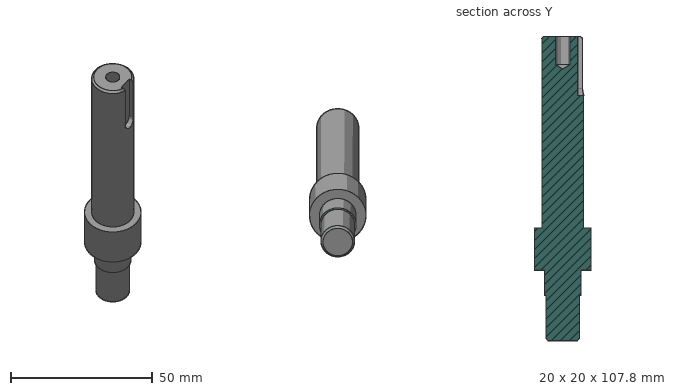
import cadquery as cq
import math

total_length = 107.8
pilot_diameter = 12.0
pilot_top = 16.1
seat_diameter = 13.0
seat_top = 24.9
collar_diameter = 20.0
collar_top = 40.0
shaft_diameter = 15.0
pilot_chamfer = 0.8
shaft_chamfer = 0.8

hole_diameter = 5.0
hole_depth = 10.0
drill_point_angle = 118

keyway_width = 5.0
keyway_floor_x = 5.4
keyway_bottom = 86.9


def cylinder(diameter, bottom, top):
    return cq.Workplane("XY").workplane(offset=bottom).circle(diameter / 2).extrude(top - bottom)


def stepped_shaft():
    pilot = cylinder(pilot_diameter, 0, pilot_top).faces("<Z").chamfer(pilot_chamfer)
    seat = cylinder(seat_diameter, pilot_top, seat_top)
    collar = cylinder(collar_diameter, seat_top, collar_top)
    shaft = cylinder(shaft_diameter, collar_top, total_length).faces(">Z").chamfer(shaft_chamfer)
    return pilot.union(seat).union(collar).union(shaft)


def end_hole():
    radius = hole_diameter / 2
    shoulder = total_length - hole_depth
    tip = shoulder - radius / math.tan(math.radians(drill_point_angle / 2))
    half_section = (
        cq.Workplane("XZ")
        .moveTo(0, total_length)
        .lineTo(radius, total_length)
        .lineTo(radius, shoulder)
        .lineTo(0, tip)
        .close()
    )
    return half_section.revolve(360, (0, 0, 0), (0, 1, 0))


def keyway():
    half_width = keyway_width / 2
    arc_center = keyway_bottom + half_width
    outline = (
        cq.Workplane("YZ")
        .workplane(offset=keyway_floor_x)
        .moveTo(-half_width, total_length)
        .lineTo(-half_width, arc_center)
        .threePointArc((0, keyway_bottom), (half_width, arc_center))
        .lineTo(half_width, total_length)
        .close()
    )
    return outline.extrude(shaft_diameter / 2)


result = stepped_shaft().cut(end_hole()).cut(keyway())